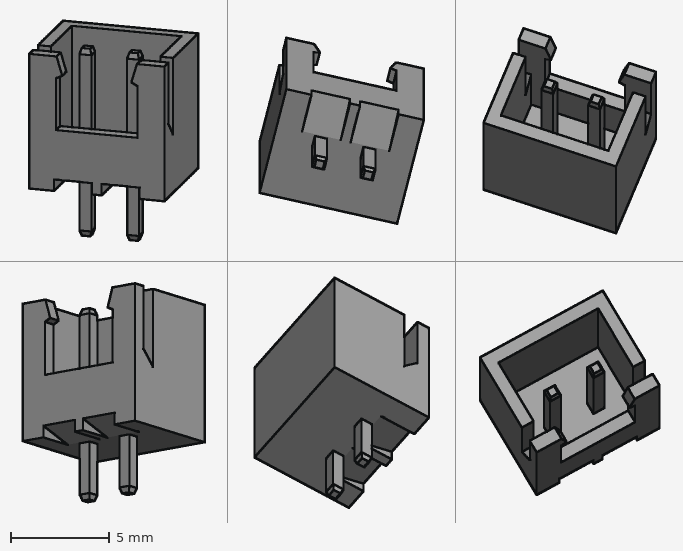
import cadquery as cq

width = 7.21
depth = 5.84
height = 7.21
front_wall = 0.71
back_wall = 0.71
side_wall = 0.68
floor = 0.66

window_width = 4.34
window_depth = 3.94
mouth_width = 4.29
barb_gap = 3.69
barb_tip_drop = 1.01
barb_end_drop = 1.17

slot_back = 1.52
slot_depth = 4.1

notch_width = 2.02
notch_height = 0.61
notch_run = 2.06

pitch = 2.54
pin_width = 0.64
pin_tip_width = 0.44
taper_length = 0.31
pin_total = 10.04
pin_bottom = height - 10.21
pin_y = 2.47
pin_positions = [-pitch / 2, pitch / 2]


def make_housing():
    """Rectangular box with an open-topped cavity."""
    outer = cq.Workplane("XY").box(width, depth, height, centered=(True, False, False))
    cavity = (
        cq.Workplane("XY", origin=(0, front_wall, floor))
        .box(width - 2 * side_wall, depth - front_wall - back_wall, height, centered=(True, False, False))
    )
    return outer.cut(cavity)


def make_window():
    """Cutter for the latch window, narrowed by a barb on each side."""
    right_edge = [
        (window_width / 2, height - window_depth),
        (window_width / 2, height - barb_end_drop),
        (barb_gap / 2, height - barb_tip_drop),
        (mouth_width / 2, height),
    ]
    left_edge = [(-x, z) for x, z in reversed(right_edge)]
    return cq.Workplane("XZ").polyline(right_edge + left_edge).close().extrude(-front_wall)


def make_slots():
    """Cutter through both side walls, with a 45 degree slope at the bottom."""
    slot_bottom = height - slot_depth
    slope_rise = slot_back - front_wall
    return (
        cq.Workplane("YZ")
        .polyline([
            (front_wall, height),
            (front_wall, slot_bottom + slope_rise),
            (slot_back, slot_bottom),
            (slot_back, height),
        ])
        .close()
        .extrude(width / 2, both=True)
    )


def make_notch(x):
    """Triangular cutter whose roof slopes down toward the back."""
    return (
        cq.Workplane("YZ", origin=(x, 0, 0))
        .polyline([(0, 0), (0, notch_height), (notch_run, 0)])
        .close()
        .extrude(notch_width / 2, both=True)
    )


def make_taper(x, z, direction):
    """Pin end narrowing along +Z (direction 1) or -Z (direction -1)."""
    return (
        cq.Workplane("XY", origin=(x, pin_y, z))
        .rect(pin_width, pin_width)
        .workplane(offset=direction * taper_length)
        .rect(pin_tip_width, pin_tip_width)
        .loft(ruled=True)
    )


def make_pin(x):
    """Square pin running through the housing floor."""
    shank_bottom = pin_bottom + taper_length
    shank_top = pin_bottom + pin_total - taper_length
    shank = (
        cq.Workplane("XY", origin=(x, pin_y, shank_bottom))
        .rect(pin_width, pin_width)
        .extrude(shank_top - shank_bottom)
    )
    return shank.union(make_taper(x, shank_top, 1)).union(make_taper(x, shank_bottom, -1))


result = make_housing().cut(make_window()).cut(make_slots())
for pin_x in pin_positions:
    result = result.cut(make_notch(pin_x))
    result = result.union(make_pin(pin_x))